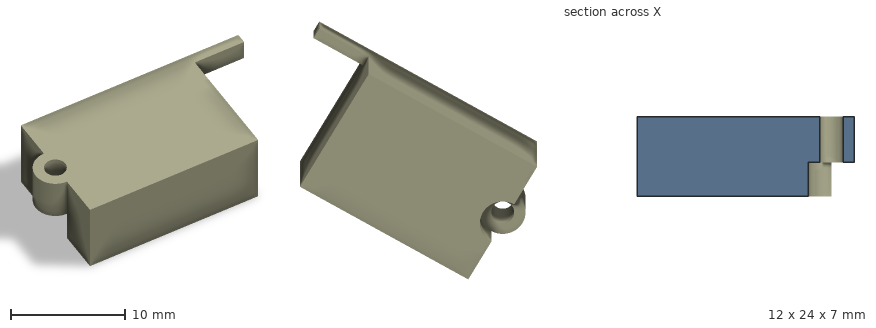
import cadquery as cq

total_length = 24.0
width = 12.0
height = 7.0
arm_length = 5.0
arm_width = 1.0
arm_height = 2.0
lug_radius = 2.0
lug_height = 4.0
hole_diameter = 2.0

body_length = total_length - arm_length - lug_radius
lug_bottom = height - lug_height

body = cq.Workplane("XY").box(width, body_length, height, centered=(True, False, False))

arm = (
    cq.Workplane("XY")
    .box(arm_width, arm_length, arm_height, centered=False)
    .translate((-width / 2, body_length, height - arm_height))
)

lug = cq.Workplane("XY").workplane(offset=lug_bottom).circle(lug_radius).extrude(lug_height)
recess = cq.Workplane("XY").circle(lug_radius).extrude(lug_bottom)

hole = cq.Workplane("XY").circle(hole_diameter / 2).extrude(height)

result = body.union(arm).cut(recess).union(lug).cut(hole)